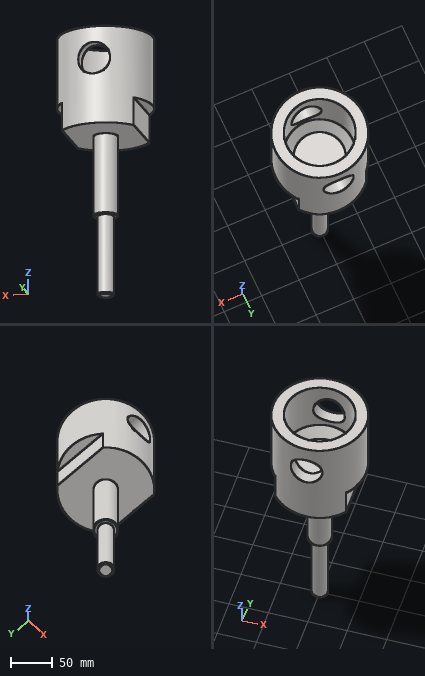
import cadquery as cq

total_height = 325.0

head_diameter = 118.0
head_height = 123.0
head_bottom = total_height - head_height

flat_width = 90.0
flat_height = 35.0

bore_diameter = 87.0
floor_diameter = 63.0
floor_depth = 80.0
cone_depth = (bore_diameter - floor_diameter) / 2

cross_hole_diameter = 40.0
cross_hole_depth = 40.0

upper_stem_diameter = 30.0
lower_stem_diameter = 20.0
lower_stem_length = 100.8
lower_stem_chamfer = 2.0
upper_stem_chamfer = 1.0


def make_head():
    head = cq.Workplane("XY").workplane(offset=head_bottom).circle(head_diameter / 2).extrude(head_height)
    side_width = (head_diameter - flat_width) / 2
    side_center = (head_diameter + flat_width) / 4
    for side in (-1, 1):
        relief = cq.Workplane("XY").box(
            side_width, head_diameter, flat_height, centered=(True, True, False)
        )
        head = head.cut(relief.translate((side * side_center, 0, head_bottom)))
    return head


def make_bore():
    floor = total_height - floor_depth
    cone_top = floor + cone_depth
    return (
        cq.Workplane("XZ")
        .moveTo(0, floor)
        .lineTo(floor_diameter / 2, floor)
        .lineTo(bore_diameter / 2, cone_top)
        .lineTo(bore_diameter / 2, total_height)
        .lineTo(0, total_height)
        .close()
        .revolve(360, (0, 0, 0), (0, 1, 0))
    )


def make_cross_hole():
    return (
        cq.Workplane("XZ")
        .center(0, total_height - cross_hole_depth)
        .circle(cross_hole_diameter / 2)
        .extrude(head_diameter, both=True)
    )


def make_stem():
    lower = cq.Workplane("XY").circle(lower_stem_diameter / 2).extrude(lower_stem_length)
    upper = (
        cq.Workplane("XY")
        .workplane(offset=lower_stem_length)
        .circle(upper_stem_diameter / 2)
        .extrude(head_bottom - lower_stem_length)
    )
    lower = lower.faces("<Z").chamfer(lower_stem_chamfer)
    upper = upper.faces("<Z").chamfer(upper_stem_chamfer)
    return lower.union(upper)


result = make_head().union(make_stem()).cut(make_bore()).cut(make_cross_hole())